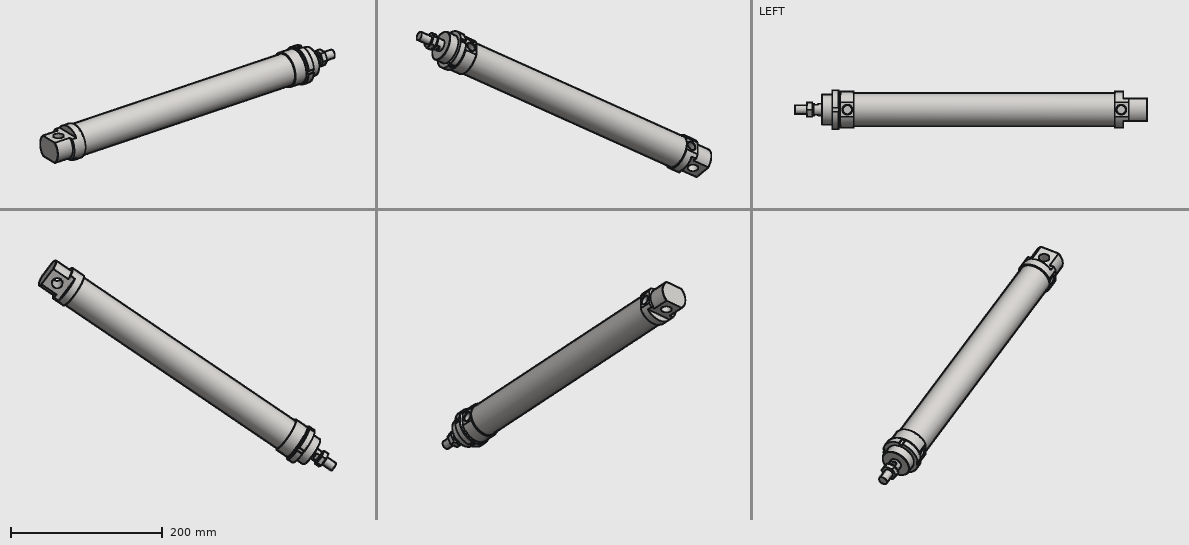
import cadquery as cq
import math

TOTAL_LENGTH = 464.0

TUBE_DIA = 44.0
COLLAR_DIA = 48.0
BOSS_DIA = 40.0
END_CHAMFER = 0.5
REAR_COLLAR_START = 24.5
REAR_COLLAR_END = 42.5
FRONT_FACE = TOTAL_LENGTH - 35.5
FRONT_COLLAR_START = FRONT_FACE - 42.0
FRONT_COLLAR_LENGTH = 17.5
FRONT_COLLAR_END = FRONT_COLLAR_START + FRONT_COLLAR_LENGTH

EYE_THICKNESS = 30.0
EYE_FLATS_END = 31.5
EYE_HOLE_DIA = 14.0
EYE_HOLE_Y = 16.0

PORT_FACE = TUBE_DIA / 2
PORT_DIA = 11.8
PORT_CHAMFER = 0.7
PORT_DEPTH = 10.0
PORT_INSET = 8.3
REAR_PORT_Y = REAR_COLLAR_END - PORT_INSET
FRONT_PORT_Y = FRONT_COLLAR_START + PORT_INSET

MOUNT_NUT_DIA = 52.0
MOUNT_NUT_LENGTH = 9.0
MOUNT_NUT_GAP = 2.0
MOUNT_NUT_START = FRONT_COLLAR_END + MOUNT_NUT_GAP
MOUNT_NUT_END = MOUNT_NUT_START + MOUNT_NUT_LENGTH
MOUNT_NUT_CHAMFER = 0.5
SLOT_WIDTH = 5.0
SLOT_DEPTH = 2.0
SLOT_COUNT = 4

ROD_DIA = 16.0
ROD_CHAMFER = 1.0
THREAD_DIA = 12.0
THREAD_LENGTH = 24.0
ROD_SHOULDER = TOTAL_LENGTH - THREAD_LENGTH
ROD_FLATS = 13.5
ROD_FLAT_DEPTH = (ROD_DIA - ROD_FLATS) / 2
ROD_FLATS_START = FRONT_FACE + 4.0
ROD_FLATS_END = ROD_FLATS_START + 6.0

ROD_NUT_FLATS = 19.0
ROD_NUT_CORNERS = ROD_NUT_FLATS / math.cos(math.pi / 6)
ROD_NUT_LENGTH = 7.0
ROD_NUT_GAP = 1.0
ROD_NUT_START = ROD_SHOULDER + ROD_NUT_GAP
ROD_NUT_END = ROD_NUT_START + ROD_NUT_LENGTH


def disc(dia, start, end):
    """Cylinder on the Y axis between two Y positions."""
    return cq.Workplane("XZ", origin=(0, start, 0)).circle(dia / 2).extrude(start - end)


def block(size_x, size_z, start, end, centre_x=0, centre_z=0):
    """Box between two Y positions."""
    centre = (centre_x, (start + end) / 2, centre_z)
    return cq.Workplane("XY").box(size_x, end - start, size_z).translate(centre)


def make_collar(start, end):
    """Ring of the body with a port flat on its -X side."""
    beyond_flat = block(COLLAR_DIA, COLLAR_DIA, start, end, centre_x=-PORT_FACE - COLLAR_DIA / 2)
    return disc(COLLAR_DIA, start, end).cut(beyond_flat)


def make_port(y):
    """Blind port hole with a chamfered mouth, to be cut from the body."""
    face = cq.Workplane("YZ", origin=(-PORT_FACE, y, 0))
    hole = face.circle(PORT_DIA / 2).extrude(PORT_DEPTH)
    mouth = face.circle(PORT_DIA / 2 + PORT_CHAMFER).extrude(PORT_CHAMFER, taper=45)
    return hole.union(mouth)


def make_body():
    body = disc(TUBE_DIA, REAR_COLLAR_END, FRONT_COLLAR_START)
    body = body.union(make_collar(REAR_COLLAR_START, REAR_COLLAR_END))
    body = body.union(make_collar(FRONT_COLLAR_START, FRONT_COLLAR_END))
    body = body.union(disc(BOSS_DIA, FRONT_COLLAR_END, FRONT_FACE).faces(">Y").chamfer(END_CHAMFER))
    body = body.union(disc(BOSS_DIA, 0, REAR_COLLAR_START).faces("<Y").chamfer(END_CHAMFER))

    beyond_eye = (EYE_THICKNESS + COLLAR_DIA) / 2
    for side in (-1, 1):
        body = body.cut(block(COLLAR_DIA, COLLAR_DIA, 0, EYE_FLATS_END, centre_z=side * beyond_eye))
    eye_plane = cq.Workplane("XY", origin=(0, EYE_HOLE_Y, 0))
    body = body.cut(eye_plane.circle(EYE_HOLE_DIA / 2).extrude(EYE_THICKNESS / 2, both=True))

    for y in (REAR_PORT_Y, FRONT_PORT_Y):
        body = body.cut(make_port(y))
    return body


def make_mount_nut():
    nut = disc(MOUNT_NUT_DIA, MOUNT_NUT_START, MOUNT_NUT_END)
    nut = nut.faces("<Y").chamfer(MOUNT_NUT_CHAMFER)
    nut = nut.cut(disc(BOSS_DIA, MOUNT_NUT_START, MOUNT_NUT_END))
    slot = block(2 * SLOT_DEPTH, SLOT_WIDTH, MOUNT_NUT_START, MOUNT_NUT_END, centre_x=MOUNT_NUT_DIA / 2)
    for i in range(SLOT_COUNT):
        nut = nut.cut(slot.rotate((0, 0, 0), (0, 1, 0), i * 360 / SLOT_COUNT))
    return nut


def make_rod():
    rod = disc(ROD_DIA, FRONT_FACE, ROD_SHOULDER).faces(">Y").chamfer(ROD_CHAMFER)
    flat = (
        cq.Workplane("YZ", origin=(-ROD_DIA / 2, 0, 0))
        .moveTo(ROD_FLATS_START, ROD_DIA / 2)
        .lineTo(ROD_FLATS_START + ROD_FLAT_DEPTH, ROD_FLATS / 2)
        .lineTo(ROD_FLATS_END, ROD_FLATS / 2)
        .lineTo(ROD_FLATS_END, ROD_DIA / 2)
        .close()
        .extrude(ROD_DIA)
    )
    rod = rod.cut(flat).cut(flat.mirror("XY"))
    return rod.union(disc(THREAD_DIA, ROD_SHOULDER, TOTAL_LENGTH))


def make_rod_nut():
    plane = cq.Workplane("XZ", origin=(0, ROD_NUT_START, 0))
    nut = plane.polygon(6, ROD_NUT_CORNERS).extrude(-ROD_NUT_LENGTH)
    return nut.cut(disc(THREAD_DIA, ROD_NUT_START, ROD_NUT_END))


body = make_body()
mount_nut = make_mount_nut()
rod = make_rod()
rod_nut = make_rod_nut()

result = cq.Compound.makeCompound([body.val(), mount_nut.val(), rod.val(), rod_nut.val()])